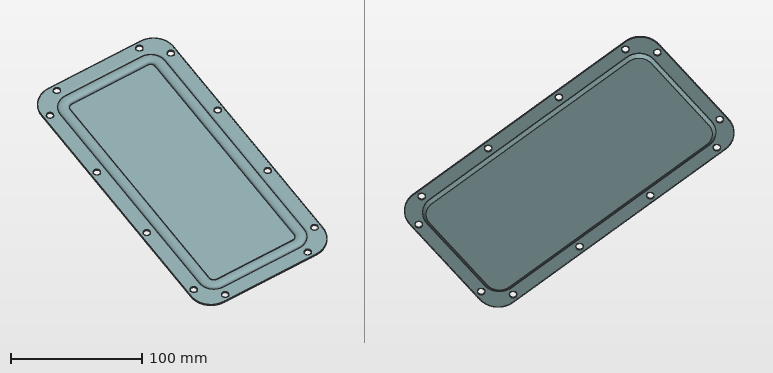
import cadquery as cq
import math

LENGTH = 245.0
WIDTH = 120.0
FLANGE_CORNER_RADIUS = 18.1
FLANGE_BOTTOM = 3.2
FLANGE_THICKNESS = 1.5
FLANGE_ROUND_RADIUS = 2.5
FLANGE_ROUND_WIDTH = 2.0

HOLE_DIAMETER = 5.6
HOLE_INSET = 5.1
LONG_SIDE_HOLES_X = (34.8, 100.2)
SHORT_SIDE_HOLES_Y = 37.5

LIP_INSET = 10.8
LIP_BOTTOM = 2.7
BASE_INSET = 13.5
CORNER_CENTRE_INSET = 25.5

HEIGHT = 6.0
CROWN_INSET = 13.7
CROWN_WIDTH = 6.5
CROWN_END_HEIGHT = 5.1
SHOULDER_WIDTH = 1.2

PANEL_TOP = FLANGE_BOTTOM
FLANGE_TOP = FLANGE_BOTTOM + FLANGE_THICKNESS
GROOVE_INSET = CROWN_INSET - SHOULDER_WIDTH
FLANGE_ROUND_DEPTH = FLANGE_ROUND_RADIUS - math.sqrt(FLANGE_ROUND_RADIUS**2 - FLANGE_ROUND_WIDTH**2)
GROOVE_BOTTOM = FLANGE_TOP - FLANGE_ROUND_DEPTH
CROWN_HALF_WIDTH = CROWN_WIDTH / 2
BEAD_HALF_WIDTH = CROWN_HALF_WIDTH + SHOULDER_WIDTH
BEAD_INSET = CROWN_INSET + CROWN_HALF_WIDTH


def rounded_slab(inset, corner_radius, bottom, top):
    """Slab whose sides lie the given inset inside the flange's outer edge."""
    return (
        cq.Workplane("XY", origin=(0, 0, bottom))
        .rect(LENGTH - 2 * inset, WIDTH - 2 * inset)
        .extrude(top - bottom)
        .edges("|Z")
        .fillet(corner_radius)
    )


def concentric_slab(inset, bottom, top):
    """Slab with corners around the shared corner centres."""
    return rounded_slab(inset, CORNER_CENTRE_INSET - inset, bottom, top)


def rim_path(inset):
    """Closed rounded-rectangle path at the given inset."""
    return concentric_slab(inset, 0, HEIGHT).faces("<Z").wires()


def rim_section(inset):
    """Section plane across the long -Y side: local x runs inward from the inset, local y is height."""
    return cq.Workplane("YZ", origin=(0, inset - WIDTH / 2, 0))


def make_flange_rounding():
    """Material removed where the flange rounds down into the groove."""
    half_angle = math.asin(FLANGE_ROUND_WIDTH / FLANGE_ROUND_RADIUS) / 2
    arc_middle = (
        FLANGE_ROUND_RADIUS * math.sin(half_angle) - FLANGE_ROUND_WIDTH,
        FLANGE_TOP - FLANGE_ROUND_RADIUS * (1 - math.cos(half_angle)),
    )
    return (
        rim_section(GROOVE_INSET)
        .moveTo(-FLANGE_ROUND_WIDTH, FLANGE_TOP)
        .threePointArc(arc_middle, (0, GROOVE_BOTTOM))
        .lineTo(0, FLANGE_TOP)
        .close()
        .sweep(rim_path(GROOVE_INSET))
    )


def make_fixing_holes():
    row_y = WIDTH / 2 - HOLE_INSET
    column_x = LENGTH / 2 - HOLE_INSET
    signs = (-1, 1)
    centres = [(sx * x, sy * row_y) for x in LONG_SIDE_HOLES_X for sx in signs for sy in signs]
    centres += [(sx * column_x, sy * SHORT_SIDE_HOLES_Y) for sx in signs for sy in signs]
    return (
        cq.Workplane("XY", origin=(0, 0, FLANGE_BOTTOM))
        .pushPoints(centres)
        .circle(HOLE_DIAMETER / 2)
        .extrude(FLANGE_THICKNESS)
    )


def shoulder_middle(foot_height):
    """Middle of the shoulder arc that leaves the crown tangentially: distance from bead centre, height."""
    crown_slope = 2 * math.atan2(HEIGHT - CROWN_END_HEIGHT, CROWN_HALF_WIDTH)
    drop = CROWN_END_HEIGHT - foot_height
    chord = math.hypot(SHOULDER_WIDTH, drop)
    chord_slope = math.atan2(drop, SHOULDER_WIDTH)
    bulge = chord / 2 * math.tan((chord_slope - crown_slope) / 2)
    distance = CROWN_HALF_WIDTH + SHOULDER_WIDTH / 2 + bulge * math.sin(chord_slope)
    height = foot_height + drop / 2 + bulge * math.cos(chord_slope)
    return distance, height


def make_bead():
    """Bead swept around the window, from the groove down to the panel face."""
    outer_distance, outer_height = shoulder_middle(GROOVE_BOTTOM)
    return (
        rim_section(BEAD_INSET)
        .moveTo(-BEAD_HALF_WIDTH, FLANGE_BOTTOM)
        .lineTo(-BEAD_HALF_WIDTH, GROOVE_BOTTOM)
        .threePointArc((-outer_distance, outer_height), (-CROWN_HALF_WIDTH, CROWN_END_HEIGHT))
        .threePointArc((0, HEIGHT), (CROWN_HALF_WIDTH, CROWN_END_HEIGHT))
        .threePointArc(shoulder_middle(PANEL_TOP), (BEAD_HALF_WIDTH, PANEL_TOP))
        .close()
        .sweep(rim_path(BEAD_INSET))
    )


def make_frame():
    plate = rounded_slab(0, FLANGE_CORNER_RADIUS, FLANGE_BOTTOM, FLANGE_TOP)
    opening = concentric_slab(GROOVE_INSET, FLANGE_BOTTOM, FLANGE_TOP)
    flange = plate.cut(opening).cut(make_flange_rounding()).cut(make_fixing_holes())
    return flange.union(make_bead())


def make_panel():
    slab = concentric_slab(LIP_INSET, 0, PANEL_TOP)
    return slab.faces("<Z").chamfer(LIP_BOTTOM, BASE_INSET - LIP_INSET)


frame = make_frame()
panel = make_panel()
result = cq.Compound.makeCompound([frame.solids().val(), panel.solids().val()])